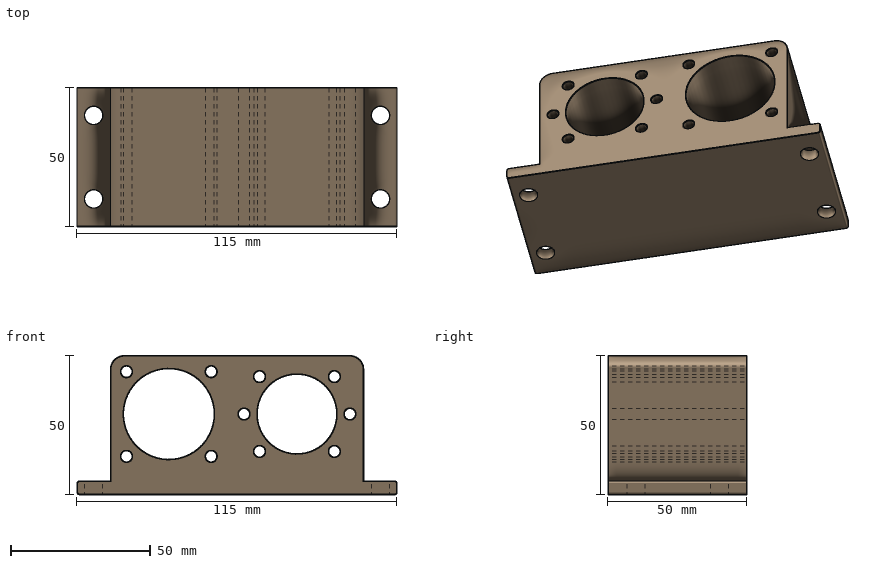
import cadquery as cq
import math

length = 115.0
depth = 50.0
height = 50.0
block_width = 91.0
flange_thickness = 5.0
block_corner_radius = 5.0
flange_edge_radius = 1.0
edge_break = 0.2

bore_height = 29.0
large_bore_x = -24.5
large_bore_diameter = 32.5
large_bolt_circle = 43.0
large_bolt_angles = (45, 135, 225, 315)
small_bore_x = 21.5
small_bore_diameter = 28.5
small_bolt_circle = 38.0
small_bolt_angles = (0, 45, 135, 180, 225, 315)
bolt_hole_diameter = 4.0

mount_hole_diameter = 6.5
mount_hole_pitch_y = 30.0
mount_hole_pitch_x = (length + block_width) / 2


def make_body():
    """Block on flange, centred on X and Y with its underside at Z = 0."""
    flange = (
        cq.Workplane("XY")
        .box(length, depth, flange_thickness, centered=(True, True, False))
        .edges("|Y")
        .fillet(flange_edge_radius)
    )
    block = (
        cq.Workplane("XY")
        .box(block_width, depth, height, centered=(True, True, False))
        .edges("|Y and >Z")
        .fillet(block_corner_radius)
    )
    return flange.union(block)


def cut_through(body, x, z, diameter):
    """Cut a round hole along Y, right through the body."""
    hole = (
        cq.Workplane("XZ", origin=(x, depth / 2, z))
        .circle(diameter / 2)
        .extrude(depth)
    )
    return body.cut(hole)


def cut_bore(body, bore_x, bore_diameter, bolt_circle, bolt_angles):
    """Cut a bore and its ring of bolt holes through the block."""
    body = cut_through(body, bore_x, bore_height, bore_diameter)
    for angle in bolt_angles:
        hole_x = bore_x + bolt_circle / 2 * math.cos(math.radians(angle))
        hole_z = bore_height + bolt_circle / 2 * math.sin(math.radians(angle))
        body = cut_through(body, hole_x, hole_z, bolt_hole_diameter)
    return body


def cut_mount_holes(body):
    """Cut the four vertical mounting holes through the flange."""
    holes = (
        cq.Workplane("XY")
        .rect(mount_hole_pitch_x, mount_hole_pitch_y, forConstruction=True)
        .vertices()
        .circle(mount_hole_diameter / 2)
        .extrude(flange_thickness)
    )
    return body.cut(holes)


body = make_body()
body = cut_bore(body, large_bore_x, large_bore_diameter, large_bolt_circle, large_bolt_angles)
body = cut_bore(body, small_bore_x, small_bore_diameter, small_bolt_circle, small_bolt_angles)

body = body.faces("<Y or >Y").edges().chamfer(edge_break)

result = cut_mount_holes(body)